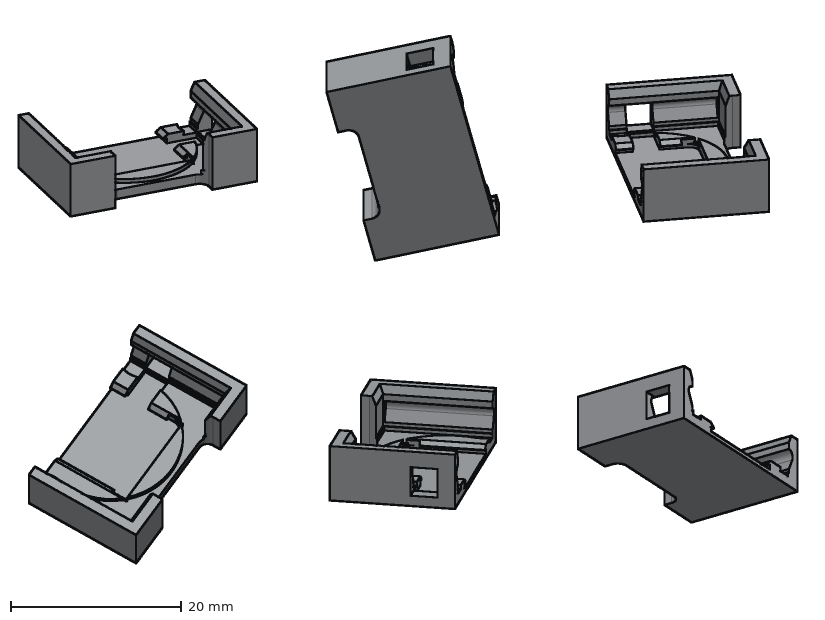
import cadquery as cq

LENGTH_X = 15.0
WIDTH_Y = 24.0
HEIGHT = 6.8
CAVITY_X = 13.13
CAVITY_HALF_Y = 10.18
LIP_OFFSET = 0.5
LIP_Z = 5.7
LEDGE_Z = 1.75
LEDGE_WIDTH = 0.17
FLOOR_Z = 1.25

DISC_RADIUS = 8.52
DISC_X = 3.7
DISC_MIRROR_X = 1.13
BLEND_RADIUS = 2.4

POCKET_X = 9.86
POCKET_HALF_Y = 6.2
POCKET_Z = 0.58
CORNER_RADIUS = 1.2
CORNER_TOP_Z = 1.0
HOOK_X = 7.87
HOOK_HALF_Y = 5.66
HOOK_BOTTOM_Z = 1.15
HOOK_SLOPE_Y = 6.34

TROUGH_BOTTOM_Z = 2.23
TROUGH_TOP_Z = 4.85
FLANK_TOP_Y = 10.87
FLANK_TOP_Z = 3.7
TROUGH_END_X = CAVITY_X - LEDGE_WIDTH

SLOT_X = 2.1
SLOT_WIDTH = 3.22
SLOT_STEP_Z = POCKET_Z + LEDGE_Z - FLOOR_Z
WINDOW_Z = 1.3

NOTCH_X = 12.8
NOTCH_HALF_Y = 6.26
NOTCH_RADIUS = 1.2


def box(x0, x1, y0, y1, z0, z1):
    """Box given by its limits along each axis."""
    return cq.Workplane("XY").box(x1 - x0, y1 - y0, z1 - z0, centered=False).translate((x0, y0, z0))


def centred_box(x1, half_y, z0, z1):
    """Box starting at the open face and symmetric about Y = 0."""
    return box(0, x1, -half_y, half_y, z0, z1)


def disc(x):
    """Pad disc centred at the given X."""
    return cq.Workplane("XY", origin=(x, 0, FLOOR_Z)).circle(DISC_RADIUS).extrude(LEDGE_Z - FLOOR_Z)


def cavity():
    """Walled space with an opening that widens towards the top."""
    lip = (
        cq.Workplane("XY", origin=(0, 0, LIP_Z))
        .rect(2 * CAVITY_X, 2 * CAVITY_HALF_Y)
        .workplane(offset=HEIGHT - LIP_Z)
        .rect(2 * (CAVITY_X + LIP_OFFSET), 2 * (CAVITY_HALF_Y + LIP_OFFSET))
        .loft(ruled=True)
        .intersect(centred_box(LENGTH_X, WIDTH_Y, LIP_Z, HEIGHT))
    )
    upper = centred_box(CAVITY_X, CAVITY_HALF_Y, LEDGE_Z, LIP_Z)
    lower = centred_box(CAVITY_X - LEDGE_WIDTH, CAVITY_HALF_Y - LEDGE_WIDTH, FLOOR_Z, LEDGE_Z)
    return upper.union(lower).union(lip)


def pad():
    """Two discs joined with blended crossings, clipped at the open face."""
    both = disc(DISC_X).union(disc(2 * DISC_MIRROR_X - DISC_X))
    crossings = cq.selectors.BoxSelector(
        (DISC_MIRROR_X - 0.25, -DISC_RADIUS, FLOOR_Z), (DISC_MIRROR_X + 0.25, DISC_RADIUS, LEDGE_Z)
    )
    blended = both.edges(crossings).edges("|Z").fillet(BLEND_RADIUS)
    return blended.intersect(centred_box(LENGTH_X, WIDTH_Y, FLOOR_Z, LEDGE_Z))


def pocket():
    """Central pocket, rounded in its lower corners and narrowed by sloped hooks."""
    bottom = (
        box(-POCKET_X, POCKET_X, -POCKET_HALF_Y, POCKET_HALF_Y, POCKET_Z, CORNER_TOP_Z)
        .edges("|Z")
        .fillet(CORNER_RADIUS)
        .intersect(centred_box(POCKET_X, POCKET_HALF_Y, POCKET_Z, CORNER_TOP_Z))
    )
    middle = centred_box(POCKET_X, POCKET_HALF_Y, CORNER_TOP_Z, HOOK_BOTTOM_Z)
    hook_gap = centred_box(HOOK_X, HOOK_HALF_Y, HOOK_BOTTOM_Z, LEDGE_Z)
    end = box(HOOK_X, POCKET_X, -POCKET_HALF_Y, POCKET_HALF_Y, HOOK_BOTTOM_Z, LEDGE_Z)
    slopes = (
        cq.Workplane("YZ")
        .moveTo(-HOOK_HALF_Y, FLOOR_Z)
        .lineTo(HOOK_HALF_Y, FLOOR_Z)
        .lineTo(HOOK_SLOPE_Y, LEDGE_Z)
        .lineTo(-HOOK_SLOPE_Y, LEDGE_Z)
        .close()
        .extrude(POCKET_X)
    )
    return bottom.union(middle).union(hook_gap).union(end).union(slopes)


def trough():
    """Undercut in the +Y wall: a straight flank rounding over into a tangent arc."""
    return (
        cq.Workplane("YZ")
        .moveTo(CAVITY_HALF_Y, TROUGH_BOTTOM_Z)
        .lineTo(FLANK_TOP_Y, FLANK_TOP_Z)
        .tangentArcPoint((CAVITY_HALF_Y, TROUGH_TOP_Z), relative=False)
        .close()
        .extrude(TROUGH_END_X)
    )


def slot():
    """Channel from the pocket to the +Y wall, then a low step and a window through the wall."""
    end_x = SLOT_X + SLOT_WIDTH
    channel = box(SLOT_X, end_x, 0, CAVITY_HALF_Y - LEDGE_WIDTH, POCKET_Z, LEDGE_Z)
    step = box(SLOT_X, end_x, 0, CAVITY_HALF_Y, SLOT_STEP_Z, LEDGE_Z)
    window = box(SLOT_X, end_x, CAVITY_HALF_Y, WIDTH_Y / 2, WINDOW_Z, TROUGH_TOP_Z)
    return channel.union(step).union(window)


def notch():
    """Full-height opening in the +X wall with rounded inner corners."""
    opening = box(NOTCH_X, 2 * LENGTH_X, -NOTCH_HALF_Y, NOTCH_HALF_Y, 0, HEIGHT)
    return opening.edges("|Z and <X").fillet(NOTCH_RADIUS)


result = (
    centred_box(LENGTH_X, WIDTH_Y / 2, 0, HEIGHT)
    .cut(cavity())
    .union(pad())
    .cut(pocket())
    .cut(trough())
    .cut(trough().mirror("XZ"))
    .cut(slot())
    .cut(notch())
)